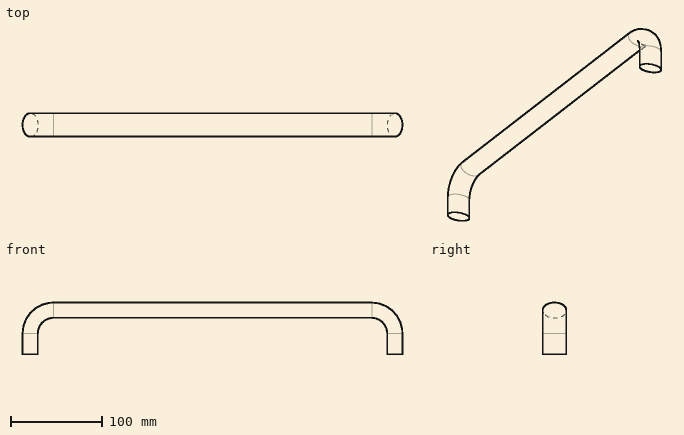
import cadquery as cq

leg_spacing = 400.0
section_width = 26.0
section_thickness = 17.0
height = 57.0
bend_radius = 25.5

leg_x = leg_spacing / 2
bar_z = height - section_thickness / 2
bend_start_z = bar_z - bend_radius
bar_end_x = leg_x - bend_radius


def handle_path():
    """Centre line from the left foot, over the bar, to the right foot."""
    return (
        cq.Workplane("XZ")
        .moveTo(-leg_x, 0)
        .lineTo(-leg_x, bend_start_z)
        .tangentArcPoint((-bar_end_x, bar_z), relative=False)
        .lineTo(bar_end_x, bar_z)
        .tangentArcPoint((leg_x, bend_start_z), relative=False)
        .lineTo(leg_x, 0)
    )


def foot_section():
    """Elliptical section at the left foot, its long axis along Y."""
    return (
        cq.Workplane("XY")
        .center(-leg_x, 0)
        .ellipse(section_thickness / 2, section_width / 2)
    )


result = foot_section().sweep(handle_path())